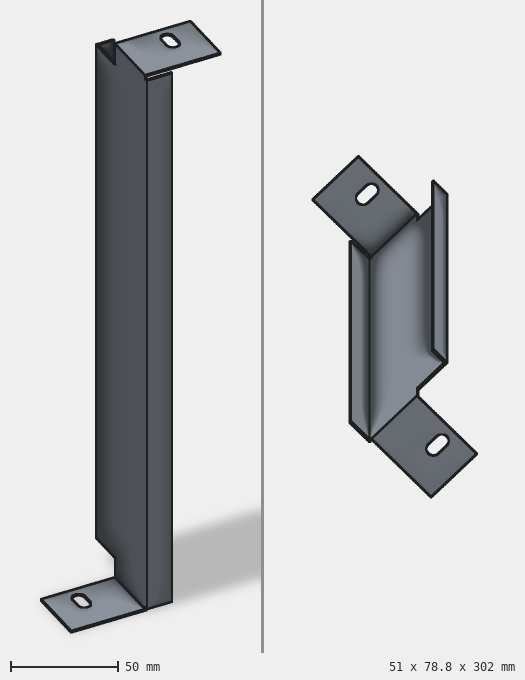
import cadquery as cq

sheet = 1.0
width = 51.0
height = 302.0
depth = 78.84

flange_reach = (depth + sheet) / 2
flange_left_inset = 19.0
flange_right_inset = 2.0
flange_width = width - flange_left_inset - flange_right_inset

left_lip_depth = 9.3
left_lip_end_gap = 12.0
right_lip_depth = 13.4
right_lip_end_gap = 2.0

slot_length = 12.0
slot_width = 6.5
slot_from_flange_side = 10.0
slot_from_flange_tip = 16.0

half_height = height / 2
flange_right = width - flange_right_inset
slot_x = flange_left_inset + slot_from_flange_side
slot_offset = flange_reach - slot_from_flange_tip


def corner_box(x_size, y_size, z_size, corner):
    """Box growing towards +X, +Y and +Z from the given corner."""
    return cq.Workplane("XY").box(x_size, y_size, z_size, centered=False).translate(corner)


def centred_panel(x_start, x_end, y_size, end_gap):
    """Upright panel on the front plane, stopping end_gap short of the top and bottom."""
    z_size = height - 2 * end_gap
    return corner_box(x_end - x_start, y_size, z_size, (x_start, 0, -z_size / 2))


def make_web():
    """Flat web: full height between the flanges, shorter along both sides."""
    left = centred_panel(0, flange_left_inset, sheet, left_lip_end_gap)
    middle = centred_panel(flange_left_inset, flange_right, sheet, 0)
    right = centred_panel(flange_right, width, sheet, right_lip_end_gap)
    return left.union(middle).union(right)


def make_lips():
    """Left and right lips folded back from the web."""
    left = centred_panel(0, sheet, left_lip_depth, left_lip_end_gap)
    right = centred_panel(width - sheet, width, right_lip_depth, right_lip_end_gap)
    return left.union(right)


def make_flange(y_start, z_start, slot_y):
    """Horizontal slotted flange with its front edge at y_start and underside at z_start."""
    plate = corner_box(flange_width, flange_reach, sheet, (flange_left_inset, y_start, z_start))
    slot = (
        cq.Workplane("XY")
        .center(slot_x, slot_y)
        .slot2D(slot_length, slot_width)
        .extrude(sheet)
        .translate((0, 0, z_start))
    )
    return plate.cut(slot)


top_flange = make_flange(0, half_height - sheet, slot_offset)
bottom_flange = make_flange(sheet - flange_reach, -half_height, sheet - slot_offset)

result = make_web().union(make_lips()).union(top_flange).union(bottom_flange)